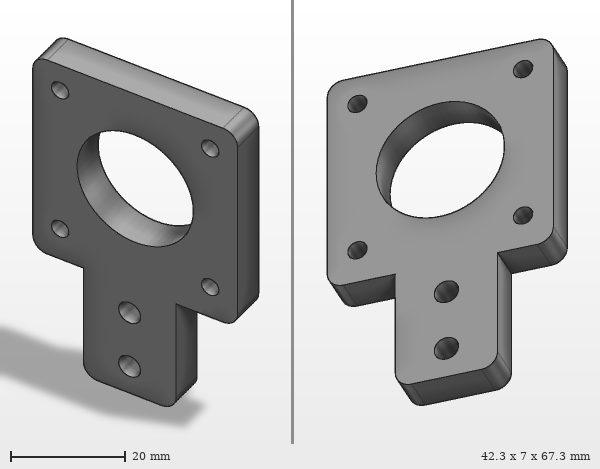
import cadquery as cq

thickness = 7.0
total_height = 67.35
plate_width = 42.3
plate_height = 43.4
corner_radius = 3.0

bore_diameter = 24.0
screw_diameter = 3.6
screw_pitch = 31.0
bore_drop = plate_width / 2

tab_width = 19.1
tab_offset = -1.15
tab_hole_diameter = 4.5
tab_hole_pitch = 12.0
lower_hole_height = 6.0

plate_top = bore_drop
plate_bottom = plate_top - plate_height
tab_bottom = plate_top - total_height


def slab(width, bottom, top, center_x):
    """Upright slab from the front face back to the full thickness."""
    return (
        cq.Workplane("XZ")
        .center(center_x, (bottom + top) / 2)
        .rect(width, top - bottom)
        .extrude(-thickness)
    )


def hole_cutters(points, diameter):
    """Cylinders through the full thickness at the given XZ points."""
    return cq.Workplane("XZ").pushPoints(points).circle(diameter / 2).extrude(-thickness)


plate = slab(plate_width, plate_bottom, plate_top, 0).edges("|Y").fillet(corner_radius)

tab = slab(tab_width, tab_bottom, 0, tab_offset)
tab = tab.edges("|Y and <Z").fillet(corner_radius)

half_pitch = screw_pitch / 2
screw_points = [(x, z) for x in (-half_pitch, half_pitch) for z in (-half_pitch, half_pitch)]

lower_hole_z = tab_bottom + lower_hole_height
tab_points = [(tab_offset, lower_hole_z + i * tab_hole_pitch) for i in range(2)]

result = (
    plate.union(tab)
    .cut(hole_cutters([(0, 0)], bore_diameter))
    .cut(hole_cutters(screw_points, screw_diameter))
    .cut(hole_cutters(tab_points, tab_hole_diameter))
)